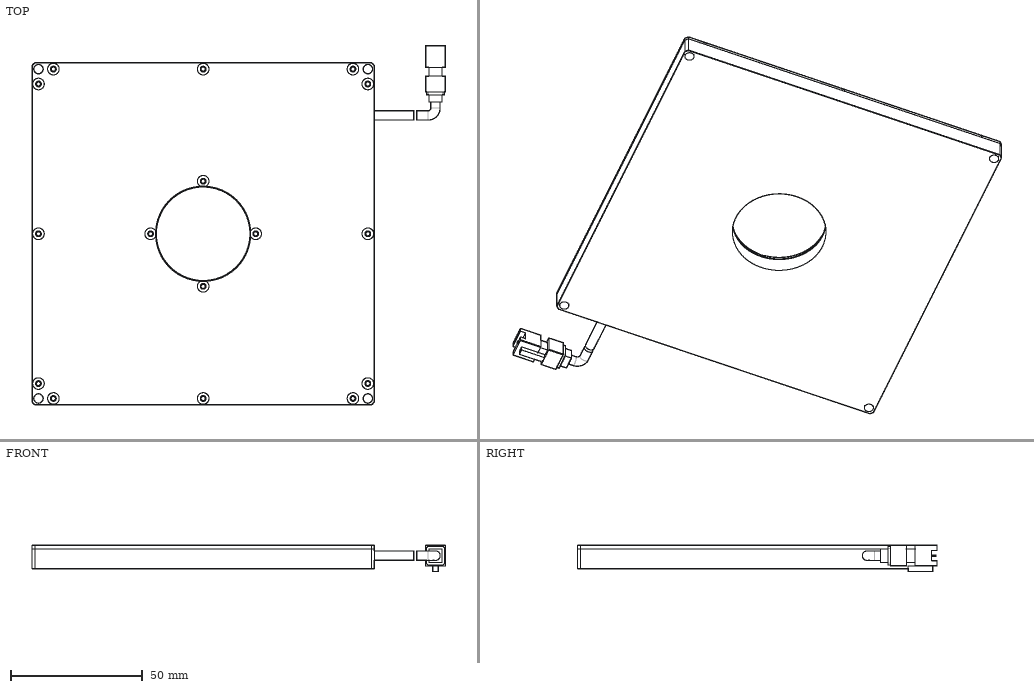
import cadquery as cq

PANEL_SIDE = 130.0
BASE_HEIGHT = 7.5
COVER_THICKNESS = 1.49
PANEL_HEIGHT = BASE_HEIGHT + COVER_THICKNESS
CORNER_CHAMFER = 1.1
RIM_CHAMFER = 0.2
BASE_BORE_DIAMETER = 35.5
COVER_BORE_DIAMETER = 36.1

HOLE_INSET = 2.5
HOLE_FROM_EDGE = PANEL_SIDE / 2 - HOLE_INSET
CORNER_SCREW_SPACING = 5.7
SCREW_FROM_EDGE = HOLE_FROM_EDGE - CORNER_SCREW_SPACING
INNER_SCREW_RADIUS = 20.0
SCREW_HOLE_DIAMETER = 2.2
THREAD_HOLE_DIAMETER = 1.5
THREAD_HOLE_DEPTH = 4.7
COUNTERSINK_DIAMETER = 4.4
COUNTERSINK_ANGLE = 90
MOUNTING_HOLE_DIAMETER = 3.5

CONNECTOR_RIGHT = 92.0
CONNECTOR_FRONT = 71.5
CONNECTOR_WIDTH = 7.7
CONNECTOR_HEIGHT = 8.0
CONNECTOR_X = CONNECTOR_RIGHT - CONNECTOR_WIDTH / 2
CONNECTOR_Z = PANEL_HEIGHT - CONNECTOR_HEIGHT / 2
PLUG_BLOCK_LENGTH = 8.3
NECK_LENGTH = 3.3
REAR_BLOCK_LENGTH = 6.0
LIP_LENGTH = 1.1
COLLAR_LENGTH = 2.8
BLOCK_CHAMFER = 0.24
LIP_INSET = 0.5
LIP_FILLET = 0.8
NECK_SIDE = 5.0
NECK_FRONT = CONNECTOR_FRONT - PLUG_BLOCK_LENGTH
REAR_BLOCK_FRONT = NECK_FRONT - NECK_LENGTH
LIP_FRONT = REAR_BLOCK_FRONT - REAR_BLOCK_LENGTH
COLLAR_FRONT = LIP_FRONT - LIP_LENGTH
COLLAR_REAR = COLLAR_FRONT - COLLAR_LENGTH

SLOT_DEPTH = 2.0
SLOT_HEIGHT = 3.8
PIN_SIDE = 0.6
PIN_LENGTH = 1.7

LATCH_WIDTH = 2.2
LATCH_BOTTOM = -1.0
LATCH_FRONT_SETBACK = 1.5
LATCH_LENGTH = 9.4

CABLE_DIAMETER = 3.6
CABLE_Y = 44.9
CABLE_BEND_RADIUS = 2.8
CABLE_STUB_END = 79.9
CABLE_BREAK = 1.1


def panel_plate(bottom, thickness, bore_diameter, outer_face):
    """Square plate with chamfered corners and outer rim, a central bore and the four mounting holes."""
    return (
        cq.Workplane("XY", origin=(0, 0, bottom))
        .rect(PANEL_SIDE, PANEL_SIDE)
        .extrude(thickness)
        .edges("|Z")
        .chamfer(CORNER_CHAMFER)
        .faces(outer_face)
        .edges()
        .chamfer(RIM_CHAMFER)
        .faces(">Z")
        .workplane(origin=(0, 0, 0))
        .hole(bore_diameter)
        .faces(">Z")
        .workplane(origin=(0, 0, 0))
        .rect(2 * HOLE_FROM_EDGE, 2 * HOLE_FROM_EDGE, forConstruction=True)
        .vertices()
        .hole(MOUNTING_HOLE_DIAMETER)
    )


def screw_positions():
    """Screws beside each corner, at mid-side and around the bore."""
    positions = []
    for sign in (-1, 1):
        for along in (-SCREW_FROM_EDGE, 0, SCREW_FROM_EDGE):
            positions.append((along, sign * HOLE_FROM_EDGE))
            positions.append((sign * HOLE_FROM_EDGE, along))
        positions.append((sign * INNER_SCREW_RADIUS, 0))
        positions.append((0, sign * INNER_SCREW_RADIUS))
    return positions


def make_base():
    return (
        panel_plate(0, BASE_HEIGHT, BASE_BORE_DIAMETER, "<Z")
        .faces(">Z")
        .workplane(origin=(0, 0, 0))
        .pushPoints(screw_positions())
        .hole(THREAD_HOLE_DIAMETER, THREAD_HOLE_DEPTH)
    )


def make_cover():
    return (
        panel_plate(BASE_HEIGHT, COVER_THICKNESS, COVER_BORE_DIAMETER, ">Z")
        .faces(">Z")
        .workplane(origin=(0, 0, 0))
        .pushPoints(screw_positions())
        .cskHole(SCREW_HOLE_DIAMETER, COUNTERSINK_DIAMETER, COUNTERSINK_ANGLE)
    )


def connector_section(front, width, height, length):
    """Box on the connector axis, from its front face back along -Y."""
    return (
        cq.Workplane("XZ", origin=(CONNECTOR_X, front, CONNECTOR_Z))
        .rect(width, height)
        .extrude(length)
    )


def connector_block(front, length):
    return (
        connector_section(front, CONNECTOR_WIDTH, CONNECTOR_HEIGHT, length)
        .edges("|Y")
        .chamfer(BLOCK_CHAMFER)
    )


def make_latch():
    latch_top = CONNECTOR_Z - CONNECTOR_HEIGHT / 2
    latch_center_y = CONNECTOR_FRONT - LATCH_FRONT_SETBACK - LATCH_LENGTH / 2
    return (
        cq.Workplane("XY", origin=(CONNECTOR_X, latch_center_y, LATCH_BOTTOM))
        .rect(LATCH_WIDTH, LATCH_LENGTH)
        .extrude(latch_top - LATCH_BOTTOM)
    )


def make_connector():
    slot = connector_section(CONNECTOR_FRONT, CONNECTOR_WIDTH, SLOT_HEIGHT, SLOT_DEPTH)
    neck = connector_section(NECK_FRONT, NECK_SIDE, NECK_SIDE, NECK_LENGTH)
    lip_width = CONNECTOR_WIDTH - 2 * LIP_INSET
    lip_height = CONNECTOR_HEIGHT - 2 * LIP_INSET
    lip = connector_section(LIP_FRONT, lip_width, lip_height, LIP_LENGTH).edges("|Y").fillet(LIP_FILLET)
    collar = connector_section(COLLAR_FRONT, NECK_SIDE, NECK_SIDE, COLLAR_LENGTH)
    return (
        connector_block(CONNECTOR_FRONT, PLUG_BLOCK_LENGTH)
        .cut(slot)
        .union(neck)
        .union(connector_block(REAR_BLOCK_FRONT, REAR_BLOCK_LENGTH))
        .union(lip)
        .union(collar)
        .union(make_latch())
    )


def make_pin():
    slot_floor = CONNECTOR_FRONT - SLOT_DEPTH
    return connector_section(slot_floor + PIN_LENGTH, PIN_SIDE, PIN_SIDE, PIN_LENGTH)


def cable_start(x):
    """Cable circle at a point of the straight run, ready to be drawn out along +X."""
    return cq.Workplane("YZ", origin=(x, CABLE_Y, CONNECTOR_Z)).circle(CABLE_DIAMETER / 2)


def make_cable_stub():
    return cable_start(PANEL_SIDE / 2).extrude(CABLE_STUB_END - PANEL_SIDE / 2)


def make_cable_elbow():
    start = CABLE_STUB_END + CABLE_BREAK
    path = (
        cq.Workplane("XY", origin=(0, 0, CONNECTOR_Z))
        .moveTo(start, CABLE_Y)
        .lineTo(CONNECTOR_X - CABLE_BEND_RADIUS, CABLE_Y)
        .tangentArcPoint((CONNECTOR_X, CABLE_Y + CABLE_BEND_RADIUS), relative=False)
        .lineTo(CONNECTOR_X, COLLAR_REAR)
    )
    return cable_start(start).sweep(path)


base = make_base()
cover = make_cover()
cable_stub = make_cable_stub()
cable_elbow = make_cable_elbow()
connector = make_connector()
pin = make_pin()

result = cq.Compound.makeCompound(
    [base.val(), cover.val(), cable_stub.val(), cable_elbow.val(), connector.val(), pin.val()]
)